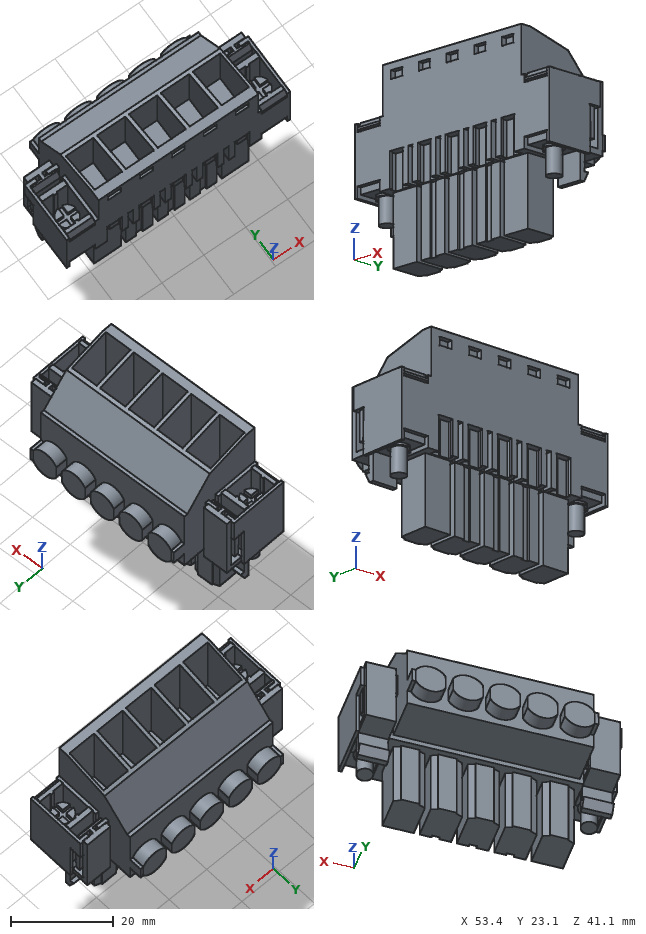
import cadquery as cq

pole_count = 5
tower_length = 38.1
pitch = tower_length / pole_count
overall_length = 53.35
overall_depth = 23.1
half_tower = tower_length / 2
half_length = overall_length / 2

tower_height = 25.65
crest_depth = 2.45
shoulder_y = 12.85
shoulder_z = 23.1
ledge_y = 19.25
ledge_z = 16.4
tower_depth = 20.1
tower_rear_base = 1.3
base_depth = 11.25

pit_width = 6.7
pit_front = 2.25
pit_rear = 11.9
pit_floor = 9.6
tower_end_wall = 0.65
window_width = 3.1
window_bottom = 22.3
window_height = 1.8
window_depth = 1.2

groove_height = 7.7
key_groove_width = 3.6
key_groove_lip = 0.65
key_groove_undercut_width = 4.4
key_groove_left_depth = 2.05
key_groove_right_depth = 1.7
narrow_groove_width = 1.2

finger_width = 6.45
finger_length = 15.45
finger_front = 2.4
finger_rear = 9.85
finger_corner_y = 9.4
finger_corner_x = 1.35
finger_rib_rear = 10.15
key_slot_width = 1.55
key_slot_depth = 0.5

flange_height = 15.25
flange_depth = 14.15
rear_wall_front = 13.2
outer_wall = 0.7
inner_wall = 0.8
front_wall = 0.95
side_window_top = 10.15
top_notch_z = 13.5
bottom_notch_z = 2.45
stem_slot_width = 2.55
pocket_outer = half_length - outer_wall
pocket_inner = half_tower + inner_wall
pocket_width = pocket_outer - pocket_inner
flange_x = (pocket_outer + pocket_inner) / 2

clip_top = 15.65
clip_bottom = 0.5
bridge_top = 1.75
lever_rear = 15.4
stem_width = 0.8
leaf_crest_y = 12.7
leaf_nose_y = 11.8
leaf_nose_z = 13.85
leaf_foot_y = 12.2
leaf_foot_z = 3.5
latch_front = 9.25
latch_rear = 10.45
gusset_height = 0.8
latch_bottom = -5.75
hook_tip_y = 11.45
hook_tip_z = -3.7
hook_end_y = 10.35
front_plate_rear = 1.9
front_plate_bottom = 0.95
lip_top_z = 14.45
lip_bottom_z = 14.0
nub_width = 0.8
nub_depth = 0.3

screw_y = 5.1
screw_head_diameter = 4.9
screw_head_top = 11.75
screw_collar_diameter = 4.45
screw_shaft_diameter = 3.3
screw_bottom = -5.1
cross_slot_width = 0.95
cross_slot_depth = 1.05

button_diameter = 6.9
button_width = 6.15
button_z = 6.35
ear_height = 3.2


def box(x_range, y_range, z_range):
    """Block between the given limits along each axis."""
    (x0, x1), (y0, y1), (z0, z1) = x_range, y_range, z_range
    return cq.Workplane("XY").box(x1 - x0, y1 - y0, z1 - z0, centered=False).translate((x0, y0, z0))


def centred_box(x, width, y_range, z_range):
    """Block of the given width centred at x."""
    return box((x - width / 2, x + width / 2), y_range, z_range)


def side_profile(points, x, width):
    """Extrude an outline of (Y, Z) points along X, centred at x."""
    outline = cq.Workplane("YZ").polyline(points).close()
    return outline.extrude(width / 2, both=True).translate((x, 0, 0))


def upright_cylinder(x, y, diameter, z_range):
    """Cylinder along Z."""
    bottom, top = z_range
    return cq.Workplane("XY").circle(diameter / 2).extrude(top - bottom).translate((x, y, bottom))


pole_positions = [(i - (pole_count - 1) / 2) * pitch for i in range(pole_count)]
gap_positions = [x + pitch / 2 for x in pole_positions[:-1]]
sides = (-1, 1)
ear_inner = pole_positions[-1] + button_width / 2


def make_tower():
    """Terminal tower with its sloping rear."""
    return side_profile(
        [
            (0, 0),
            (0, tower_height),
            (crest_depth, tower_height),
            (shoulder_y, shoulder_z),
            (ledge_y, ledge_z),
            (tower_depth, ledge_z),
            (tower_depth, tower_rear_base),
            (base_depth, tower_rear_base),
            (base_depth, 0),
        ],
        0,
        tower_length,
    )


def make_flange(side):
    """End flange: an open pocket with a slotted rear wall and a notched front wall."""
    inner, outer = side * half_tower, side * half_length
    x_range = sorted((inner, outer))
    x = side * flange_x
    flange = box(x_range, (0, flange_depth), (0, flange_height))
    flange = flange.cut(box(x_range, (base_depth, flange_depth), (0, side_window_top)))
    flange = flange.cut(centred_box(x, pocket_width, (front_wall, rear_wall_front), (0, flange_height)))
    passage_x = sorted((inner, side * pocket_inner))
    flange = flange.cut(box(passage_x, (base_depth, rear_wall_front), (0, flange_height)))
    flange = flange.cut(centred_box(x, pocket_width, (0, front_wall), (top_notch_z, flange_height)))
    flange = flange.cut(centred_box(x, pocket_width, (0, front_wall), (0, bottom_notch_z)))
    return flange.cut(centred_box(x, stem_slot_width, (rear_wall_front, flange_depth), (0, flange_height)))


def make_ear(side):
    """Block beside an end button, flush with the end of the tower."""
    ear_x = sorted((side * half_tower, side * ear_inner))
    ear_z = (button_z - ear_height / 2, button_z + ear_height / 2)
    return box(ear_x, (tower_depth, overall_depth), ear_z)


def make_finger(x, keyed):
    """Plug finger with bevelled rear corners, a rear rib and, if keyed, a slot down its front."""
    half = finger_width / 2
    rib_half = half - finger_corner_x
    outline = [
        (-half, finger_front),
        (half, finger_front),
        (half, finger_corner_y),
        (rib_half, finger_rear),
        (rib_half, finger_rib_rear),
        (-rib_half, finger_rib_rear),
        (-rib_half, finger_rear),
        (-half, finger_corner_y),
    ]
    finger = cq.Workplane("XY").polyline(outline).close().extrude(-finger_length).translate((x, 0, 0))
    if keyed:
        slot_y = (finger_front, finger_front + key_slot_depth)
        finger = finger.cut(centred_box(x, key_slot_width, slot_y, (-finger_length, 0)))
    return finger


def make_key_groove(x):
    """Cutter for an undercut groove whose floor is deeper on its left half."""
    mouth_half = key_groove_width / 2
    undercut_half = key_groove_undercut_width / 2
    outline = [
        (-mouth_half, 0),
        (mouth_half, 0),
        (mouth_half, key_groove_lip),
        (undercut_half, key_groove_lip),
        (undercut_half, key_groove_right_depth),
        (0, key_groove_right_depth),
        (0, key_groove_left_depth),
        (-undercut_half, key_groove_left_depth),
        (-undercut_half, key_groove_lip),
        (-mouth_half, key_groove_lip),
    ]
    return cq.Workplane("XY").polyline(outline).close().extrude(groove_height).translate((x, 0, 0))


def make_housing():
    """Housing: tower, flanges, fingers and ears, with the pits, windows and grooves cut out."""
    housing = make_tower()
    pit_limit = half_tower - tower_end_wall
    for side in sides:
        housing = housing.union(make_flange(side))
        housing = housing.union(make_ear(side))
    for x in pole_positions:
        keyed = x not in (pole_positions[0], pole_positions[-1])
        housing = housing.union(make_finger(x, keyed))
        pit_x = (max(x - pit_width / 2, -pit_limit), min(x + pit_width / 2, pit_limit))
        housing = housing.cut(box(pit_x, (pit_front, pit_rear), (pit_floor, tower_height)))
        window_z = (window_bottom, window_bottom + window_height)
        housing = housing.cut(centred_box(x, window_width, (0, window_depth), window_z))
        housing = housing.cut(make_key_groove(x))
    for x in gap_positions:
        housing = housing.cut(centred_box(x, narrow_groove_width, (0, finger_front), (0, groove_height)))
    return housing


def make_clip(side):
    """Locking clip: front plate with lip, floor, latch with hook, and the rear lever with its leaf."""
    x = side * flange_x
    front_plate = side_profile(
        [
            (front_wall, front_plate_bottom),
            (front_wall, lip_bottom_z),
            (0, lip_bottom_z),
            (0, lip_top_z),
            (front_wall, clip_top),
            (front_plate_rear, clip_top),
            (front_plate_rear, front_plate_bottom),
        ],
        x,
        pocket_width,
    )
    floor = centred_box(x, pocket_width, (front_wall, latch_front), (front_plate_bottom, bridge_top))
    latch = side_profile(
        [
            (latch_front, clip_top),
            (latch_rear, clip_top),
            (latch_rear, bridge_top + gusset_height),
            (base_depth, bridge_top),
            (base_depth, clip_bottom),
            (latch_rear, clip_bottom),
            (latch_rear, hook_tip_z),
            (hook_tip_y, hook_tip_z),
            (hook_end_y, latch_bottom),
            (latch_front, latch_bottom),
        ],
        x,
        pocket_width,
    )
    bridge = centred_box(x, pocket_width, (screw_y, lever_rear), (clip_bottom, bridge_top))
    lever = centred_box(x, pocket_width, (flange_depth, lever_rear), (clip_bottom, clip_top))
    leaf_outline = [
        (rear_wall_front, clip_top),
        (leaf_crest_y, clip_top),
        (leaf_nose_y, leaf_nose_z),
        (leaf_foot_y, leaf_foot_z),
        (rear_wall_front, leaf_foot_z),
    ]
    leaf = side_profile(leaf_outline, x, pocket_width)
    stem = centred_box(x, stem_width, (rear_wall_front, flange_depth), (bridge_top, clip_top))
    stem_foot = centred_box(x, stem_width, (leaf_foot_y, rear_wall_front), (bridge_top, leaf_foot_z))
    clip = front_plate.union(floor).union(latch).union(bridge).union(lever).union(stem).union(stem_foot).union(leaf)
    nub_z = (bridge_top, clip_top)
    clip = clip.union(centred_box(x, nub_width, (latch_front - nub_depth, latch_front), nub_z))
    clip = clip.union(centred_box(x, nub_width, (front_plate_rear, front_plate_rear + nub_depth), nub_z))
    collar_hole = upright_cylinder(x, screw_y, screw_collar_diameter, (clip_bottom, bridge_top))
    return clip.cut(collar_hole)


def make_screw(side):
    """Flange screw with a cross-slotted head standing on the clip floor."""
    x = side * flange_x
    screw = upright_cylinder(x, screw_y, screw_head_diameter, (bridge_top, screw_head_top))
    screw = screw.union(upright_cylinder(x, screw_y, screw_collar_diameter, (clip_bottom, bridge_top)))
    screw = screw.union(upright_cylinder(x, screw_y, screw_shaft_diameter, (screw_bottom, clip_bottom)))
    slot_z = (screw_head_top - cross_slot_depth, screw_head_top)
    half_head = screw_head_diameter / 2
    half_slot = cross_slot_width / 2
    along_x = (screw_y - half_slot, screw_y + half_slot)
    along_y = (screw_y - half_head, screw_y + half_head)
    screw = screw.cut(centred_box(x, screw_head_diameter, along_x, slot_z))
    return screw.cut(centred_box(x, cross_slot_width, along_y, slot_z))


def make_button(x):
    """Round rear button with two flat sides."""
    length = overall_depth - tower_depth
    button = cq.Workplane("XZ").circle(button_diameter / 2).extrude(-length)
    button = button.translate((x, tower_depth, button_z))
    half = button_diameter / 2
    sides_z = (button_z - half, button_z + half)
    return button.intersect(centred_box(x, button_width, (tower_depth, overall_depth), sides_z))


housing = make_housing()
clips = [make_clip(side) for side in sides]
screws = [make_screw(side) for side in sides]
buttons = [make_button(x) for x in pole_positions]

result = cq.Compound.makeCompound([body.val() for body in [housing, *clips, *screws, *buttons]])